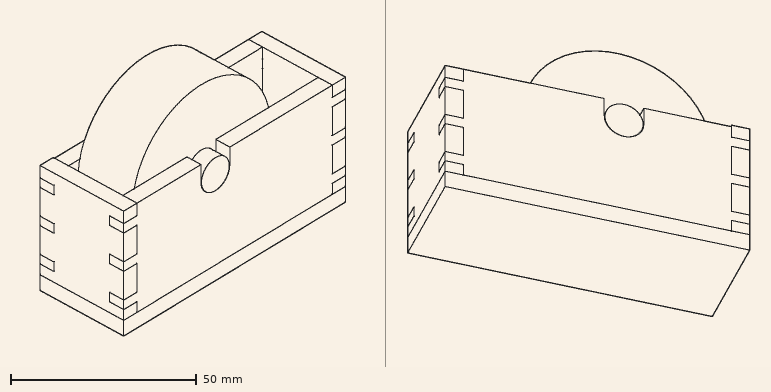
import cadquery as cq

box_length = 86.9
box_width = 31.2
wall = 5.2
base_thickness = wall
wall_height = 36.0
rim_height = base_thickness + wall_height

finger_height = 3.1
finger_pitch = 12.6
finger_count = 3
lowest_finger = 3.6

roller_diameter = 54.0
roller_width = 20.25
overall_height = 62.15
axle_diameter = 10.9
axle_y = -7.6
axle_z = overall_height - roller_diameter / 2

slot_width = 11.3
slot_clearance = (slot_width - axle_diameter) / 2
slot_centre_z = axle_z + slot_clearance
rim_step = 0.5


def block(x_size, y_size, z_size, x=0.0, y=0.0, z=0.0):
    """Box centred on x and y, standing on height z."""
    return cq.Workplane("XY").box(x_size, y_size, z_size, centered=(True, True, False)).translate((x, y, z))


def cylinder_along_x(diameter, x_start, x_end, y, z):
    """Cylinder parallel to X between two X positions."""
    return cq.Workplane("YZ", origin=(x_start, y, z)).circle(diameter / 2).extrude(x_end - x_start)


def finger_layer():
    """Horizontal slabs at the heights where the side fingers reach through the ends."""
    slabs = cq.Workplane("XY")
    for index in range(finger_count):
        z = base_thickness + lowest_finger + index * finger_pitch
        slabs = slabs.add(block(box_width, box_length, finger_height, z=z))
    return slabs.combine()


def corner_posts():
    """Four square posts where the sides and ends cross."""
    posts = cq.Workplane("XY")
    for x_sign in (-1, 1):
        for y_sign in (-1, 1):
            x = x_sign * (box_width - wall) / 2
            y = y_sign * (box_length - wall) / 2
            posts = posts.add(block(wall, wall, wall_height, x, y, base_thickness))
    return posts.combine()


def axle_slot():
    """Round-bottomed slot, open at the rim, through both sides."""
    slot_bottom = cylinder_along_x(slot_width, -box_width / 2, box_width / 2, axle_y, slot_centre_z)
    slot_mouth = block(box_width, slot_width, rim_height - slot_centre_z, y=axle_y, z=slot_centre_z)
    return slot_bottom.union(slot_mouth)


side_fingers = corner_posts().intersect(finger_layer())


def make_base():
    return block(box_width, box_length, base_thickness)


def make_end(y_sign):
    """End board, notched at its corners for the side fingers."""
    y = y_sign * (box_length - wall) / 2
    return block(box_width, wall, wall_height, y=y, z=base_thickness).cut(side_fingers)


def make_side(x_sign):
    """Side board with fingers at both ends and an axle slot in its rim."""
    x = x_sign * (box_width - wall) / 2
    board = block(wall, box_length, wall_height, x=x, z=base_thickness)
    end_fingers = corner_posts().cut(side_fingers)
    return board.cut(end_fingers).cut(axle_slot())


def lower_front_rim(side):
    """Lower the rim of the -X side between its slot and the front end."""
    front_y = wall - box_length / 2
    step_length = axle_y - front_y
    x = (wall - box_width) / 2
    return side.cut(block(wall, step_length, rim_step, x, front_y + step_length / 2, rim_height - rim_step))


def make_roller():
    """Roller against the +X side, bored for the axle."""
    roller_right = box_width / 2 - wall
    roller_left = roller_right - roller_width
    roller = cylinder_along_x(roller_diameter, roller_left, roller_right, axle_y, axle_z)
    return roller.cut(make_axle())


def make_axle():
    """Axle flush with the outer faces of both sides."""
    return cylinder_along_x(axle_diameter, -box_width / 2, box_width / 2, axle_y, axle_z)


base = make_base()
ends = [make_end(sign) for sign in (-1, 1)]
left_side = lower_front_rim(make_side(-1))
right_side = make_side(1)
roller = make_roller()
axle = make_axle()

result = cq.Compound.makeCompound([
    base.val(),
    *[end.solids().val() for end in ends],
    left_side.solids().val(),
    right_side.solids().val(),
    roller.solids().val(),
    axle.val(),
])